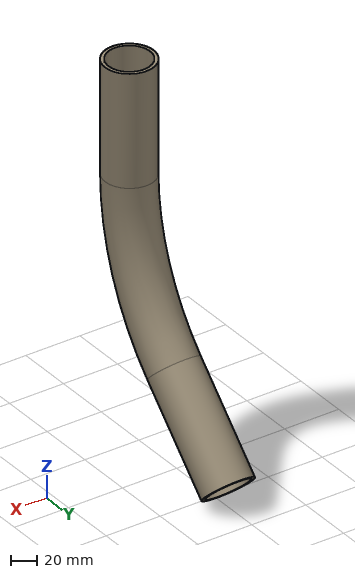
import cadquery as cq
import math

overall_height = 333.0
outer_diameter = 44.5
inner_diameter = 38.3
bend_radius = 203.0
bend_angle = math.radians(45.0)

bend_height = bend_radius * math.sin(bend_angle)
end_face_drop = outer_diameter / 2 * math.sin(bend_angle)
leg_length = (overall_height - bend_height - end_face_drop) / (1 + math.cos(bend_angle))


def bend_point(angle):
    """Centreline point (Y, Z) after turning by angle from the vertical leg."""
    y = bend_radius * (1 - math.cos(angle))
    z = -leg_length - bend_radius * math.sin(angle)
    return y, z


bend_end_y, bend_end_z = bend_point(bend_angle)
lower_end = (
    bend_end_y + leg_length * math.sin(bend_angle),
    bend_end_z - leg_length * math.cos(bend_angle),
)
centreline = (
    cq.Workplane("YZ")
    .moveTo(0, 0)
    .lineTo(*bend_point(0))
    .threePointArc(bend_point(bend_angle / 2), (bend_end_y, bend_end_z))
    .lineTo(*lower_end)
)

result = (
    cq.Workplane("XY")
    .circle(outer_diameter / 2)
    .circle(inner_diameter / 2)
    .sweep(centreline)
)